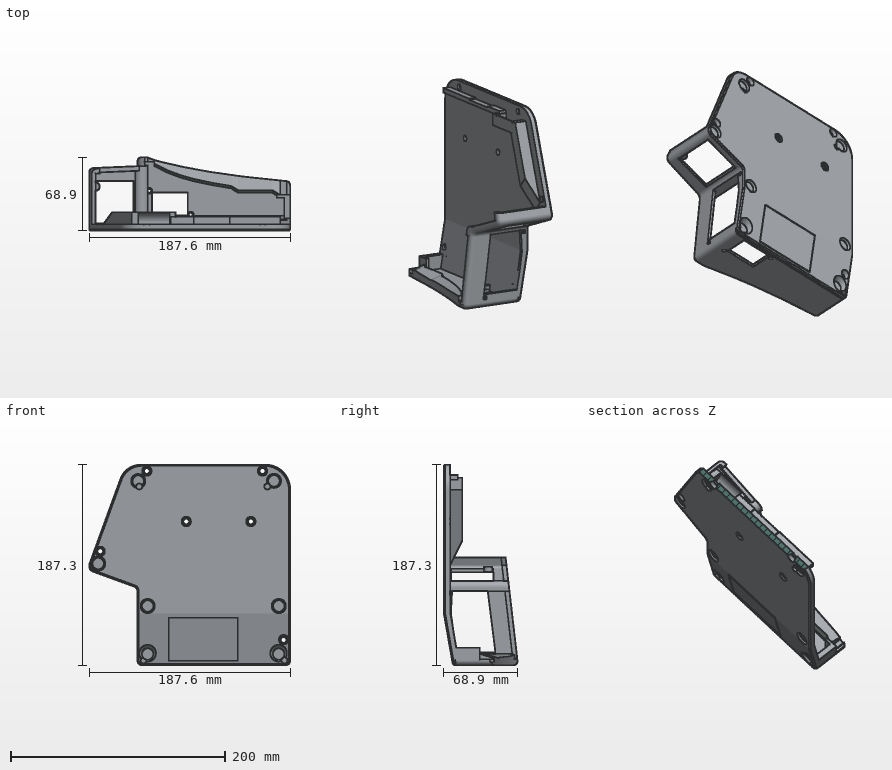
import cadquery as cq
import math

width = 187.6
height = 187.3
depth = 68.9
lean = math.radians(20)

lower_left_x = 45.0
wing_corner_z = 89.3
top_left_radius = 20.6
top_right_radius = 23.5
wing_radius = 5.6
notch_radius = 4.7
bottom_radius = 4.7

panel = 6.0
panel_chamfer = 1.3
bend_z = 48.5
tilt = math.radians(10)

wall = 3.2
floor = 5.6
rim_width = 6.8
rim_thickness = 4.3
rim_round = 4.1
rim_wing_y = 57.2
wing_wall_top = 100.8
floor_curve = [(51.0, 70.0), (63.0, 65.5), (76.5, 62.1), (120.6, 53.8), (width, 46.2)]

post_left = 41.8
post_right = 54.8
post_round = 6.2
post_bottom = 69.2
post_top = 78.8

side_window_points = [(7.9, 69.2), (6.8, 48.5), (11.8, 12.4), (48.0, 12.4), (40.9, 69.2)]
wing_window_x = (5.3, 41.3)
wing_window_y = (7.0, 46.3)
floor_window_x = (58.7, 92.0)
floor_window_y = (13.1, 35.6)

ridge_curve = [(61.0, 62.7), (78.8, 54.2), (95.7, 49.0), (132.7, 41.8)]
ridge_steps = [(138.8, 37.9), (170.7, 37.9), (178.2, 33.4)]
ridge_slope = 0.3
ridge_top = 10.7
ridge_step = 2.3
sill_top = 16.5
sill_front = 33.8
sill_width = 5.8
sill_bar_left = 175.2
sill_bar = 2.8

wing_lip_inset = 9.4
wing_lip_thickness = 11.3
wing_lip_end_skew = 45
wing_lip_top = 175.0
wing_lip_bottom = 102.3
wing_lip_ramp_top = 124.4
wing_lip_depth = 17.5
lip_step_x = 80.7
scoop_x = (46.0, 75.0)
scoop_y = 8.5
scoop_radius = 8.5
top_lip_depth = 13.1
top_lip_top = 177.7
top_lip_thickness = 4.5
top_lip_right = 178.2
top_lip_notch_x = (97.5, 131.3)
top_lip_notch = 1.1

screw_diameter = 5.5
screw_head_diameter = 8.8
screw_head_depth = 3.8
flat_head_depth = 2.3
edge_screws = [(10.3, 106.4), (53.8, 181.3), (161.7, 181.3), (181.5, 23.6)]
middle_screws = [(90.6, 134.2), (150.9, 134.2)]
foot_diameter = 13.3
foot_floor_diameter = 10.7
foot_depth = 2.3
feet = [(45.8, 171.9), (172.5, 172.0), (8.5, 95.0), (54.6, 55.4), (177.0, 55.4)]
tilted_foot_depth = 4.1
tilted_feet = [(54.6, 10.5), (176.7, 10.5)]
magnet_diameter = 5.6
magnet_depth = 3.0
magnets = [(46.7, 166.8), (166.2, 166.8), (50.8, 4.5), (182.2, 4.7)]

label_x = (74.1, 138.7)
label_z = (4.3, 44.3)
label_depth = 0.5

pilot_diameter = 3.5
pilot_depth = 3.4
side_pilots = [(4.9, 67.5), (46.7, 9.2)]
floor_posts = [(56.1, 37.3), (94.8, 15.0)]
post_diameter = 5.6
post_height = 1.1
wing_boss_x = 6.0
wing_boss_y = 41.3
wing_boss_z = (87.2, 92.0)
wing_boss_diameter = 7.9

wing_corner_x = wing_radius * (1 - math.sin(lean) - math.cos(lean))
bend_inset = bend_z * math.tan(tilt)


def box(x, y, z):
    """Block given by its (low, high) limits on each axis."""
    sizes = [high - low for low, high in (x, y, z)]
    return cq.Workplane("XY").box(*sizes, centered=False).translate((x[0], y[0], z[0]))


def countersink(x, z, mouth_diameter, floor_diameter, taper_depth, depth_at_center):
    """Tapered recess along +Y that ends on a flat floor, measured from the panel's outer face."""
    floor_y = panel_front(z) + depth_at_center
    start_diameter = floor_diameter + (mouth_diameter - floor_diameter) * floor_y / taper_depth
    solid = cq.Solid.makeCone(
        start_diameter / 2, floor_diameter / 2, floor_y, cq.Vector(x, 0, z), cq.Vector(0, 1, 0)
    )
    return cq.Workplane(solid)


def peg(x, z, diameter, start, end):
    """Cylinder along +Y from depth start to depth end."""
    return cq.Workplane("XZ", origin=(x, start, z)).circle(diameter / 2).extrude(start - end)


def panel_front(z):
    """Depth of the panel's outer face at height z."""
    return max(0.0, (bend_z - z) * math.tan(tilt))


notch_z = wing_corner_z - (lower_left_x - wing_corner_x) * math.tan(lean)
top_left_x = wing_corner_x + (height - wing_corner_z) * math.tan(lean)
outline_corners = [
    (lower_left_x, 0, bottom_radius),
    (width, 0, bottom_radius),
    (width, height, top_right_radius),
    (top_left_x, height, top_left_radius),
    (wing_corner_x, wing_corner_z, wing_radius),
    (lower_left_x, notch_z, notch_radius),
]


def outline_prism():
    points = [(x, z) for x, z, radius in outline_corners]
    prism = cq.Workplane("XZ").polyline(points).close().extrude(-2 * depth)
    for x, z, radius in outline_corners:
        corner = cq.selectors.BoxSelector((x - 1.9, -1.9, z - 1.9), (x + 1.9, 2 * depth + 1.9, z + 1.9))
        prism = prism.edges("|Y").edges(corner).fillet(radius)
    return prism


def inset_prism(inset):
    boundary = outline.faces("<Y").wires().val().offset2D(-inset)[0]
    return cq.Workplane(cq.Solid.extrudeLinear(boundary, [], cq.Vector(0, 2 * depth, 0)))


outline = outline_prism()


def bent_panel():
    flat = outline.intersect(box((-1.9, width + 1.9), (-1.9, panel), (-1.9, height + 1.9)))
    flat = flat.faces("<Y").chamfer(panel_chamfer)
    upper = flat.intersect(box((-1.9, width + 1.9), (-1.9, panel), (bend_z, height + 1.9)))
    tilted_length = bend_z / math.cos(tilt)
    label_shift = bend_z - tilted_length
    lower = flat.translate((0, 0, label_shift))
    lower = lower.intersect(box((-1.9, width + 1.9), (-1.9, panel), (-1.9, bend_z)))
    lower = lower.cut(box(label_x, (0, label_depth), (label_z[0] + label_shift, label_z[1])))
    lower = lower.rotate((0, 0, bend_z), (1, 0, bend_z), math.degrees(tilt))
    return upper.union(lower)


back_panel = bent_panel()

slope_run = (depth - rim_wing_y) / wing_wall_top
slope_front = depth + rim_round * (slope_run + math.hypot(1, slope_run) - 1)
slope_top = slope_front - slope_run * wing_wall_top
side_profile = [
    (bend_inset + panel / 2, 0),
    (slope_front, 0),
    (slope_top, wing_wall_top),
    (panel / 2, wing_wall_top),
    (panel / 2, bend_z),
]
side_limit = cq.Workplane("YZ", origin=(-1.9, 0, 0)).polyline(side_profile).close().extrude(width + 3.8)


def plan_limit():
    floor_end_x, floor_end_y = floor_curve[-1]
    limit = (
        cq.Workplane("XY", origin=(0, 0, -1.9))
        .moveTo(-1.9, 0)
        .lineTo(-1.9, floor_curve[0][1])
        .lineTo(*floor_curve[0])
        .spline(floor_curve[1:], includeCurrent=True)
        .lineTo(floor_end_x, 0)
        .close()
        .extrude(height)
    )
    corner = cq.selectors.NearestToPointSelector((floor_end_x, floor_end_y, height / 2))
    return limit.edges("|Z").edges(corner).fillet(rim_round)


def wall_envelope():
    side_body = outline.intersect(side_limit)
    front_middle = (width / 2, rim_wing_y + 3.8, wing_wall_top / 2)
    front_face = side_body.faces(cq.selectors.NearestToPointSelector(front_middle))
    return front_face.edges("not >Z").fillet(rim_round).intersect(plan_limit())


envelope = wall_envelope()

flange_opening = inset_prism(rim_width)
wall_cavity = inset_prism(wall).intersect(side_limit.translate((0, -rim_thickness, 0)))
open_right = box((post_right, width + 1.9), (0, depth + 1.9), (floor, height))
post = box((post_left, post_right), (panel, depth), (post_bottom, post_top))
post = post.edges("|Y and >Z").fillet(post_round)
sill = box((width - sill_width, width + 1.9), (panel, sill_front), (0, sill_top))
sill = sill.union(box((sill_bar_left, width + 1.9), (sill_front - sill_bar, sill_front), (0, sill_top)))
walls = envelope.cut(wall_cavity).cut(flange_opening).cut(open_right)
walls = walls.union(post.union(sill).intersect(envelope))


def ridge_section(x, crest):
    reach = depth - sill_front
    points = [
        (crest, ridge_top),
        (crest - ridge_step, floor),
        (crest - ridge_step, floor / 2),
        (crest + reach, floor / 2),
        (crest + reach, ridge_top - reach * ridge_slope),
    ]
    return cq.Wire.makePolygon([cq.Vector(x, y, z) for y, z in points], close=True)


def ridge_loft(crest_points, straight):
    return cq.Workplane(cq.Solid.makeLoft([ridge_section(x, y) for x, y in crest_points], straight))


swept_ridge = ridge_loft(ridge_curve, False)
stepped_ridge = ridge_loft([ridge_curve[-1]] + ridge_steps, True)
walls = walls.union(swept_ridge.union(stepped_ridge).intersect(envelope))

side_window = (
    cq.Workplane("YZ", origin=(lower_left_x - 1.9, 0, 0))
    .polyline(side_window_points)
    .close()
    .extrude(post_right - lower_left_x + 1.9)
)
wing_window = box(wing_window_x, wing_window_y, (post_bottom, wing_wall_top - wall))
floor_window = box(floor_window_x, floor_window_y, (-1.9, ridge_top))
walls = walls.cut(side_window).cut(wing_window).cut(floor_window)


def lip_x(z, inset):
    """X of the line parallel to the leaning edge, inset square to it, at height z."""
    return wing_corner_x + (z - wing_corner_z) * math.tan(lean) + inset / math.cos(lean)


def leaning_lip():
    inner_inset = wing_lip_inset + wing_lip_thickness
    corner_z = wing_lip_top - wing_lip_thickness
    plan = [
        (lip_x(0, wing_lip_inset), 0),
        (lip_x(wing_lip_top, wing_lip_inset), wing_lip_top),
        (lip_step_x, wing_lip_top),
        (lip_step_x, corner_z),
        (lip_x(corner_z, inner_inset), corner_z),
        (lip_x(0, inner_inset), 0),
    ]
    lip = cq.Workplane("XZ").polyline(plan).close().extrude(-wing_lip_depth)
    ramp_profile = [
        (panel / 2, wing_lip_bottom),
        (panel, wing_lip_bottom),
        (wing_lip_depth, wing_lip_ramp_top),
        (wing_lip_depth, 2 * height),
        (panel / 2, 2 * height),
    ]
    ramp_x = lip_x(wing_lip_bottom, wing_lip_inset)
    ramp = cq.Workplane("YZ", origin=(-width, 0, 0)).polyline(ramp_profile).close().extrude(3 * width)
    ramp = ramp.rotate((ramp_x, 0, wing_lip_bottom), (ramp_x, 1, wing_lip_bottom), wing_lip_end_skew)
    scoop = (
        cq.Workplane("YZ", origin=(scoop_x[0], scoop_y, wing_lip_top))
        .circle(scoop_radius)
        .extrude(scoop_x[1] - scoop_x[0])
    )
    return lip.intersect(ramp).cut(scoop)


def top_lip():
    x_range = (lip_step_x - top_lip_thickness, top_lip_right)
    y_range = (panel / 2, top_lip_depth)
    lip = box(x_range, y_range, (top_lip_top - top_lip_thickness, top_lip_top))
    return lip.cut(box(top_lip_notch_x, (panel, depth), (top_lip_top - top_lip_notch, height)))


def floor_post(x, y):
    return cq.Workplane("XY").center(x, y).circle(post_diameter / 2).extrude(floor + post_height)


wing_boss = (
    cq.Workplane("XY", origin=(wing_boss_x, wing_boss_y, wing_boss_z[0]))
    .circle(wing_boss_diameter / 2)
    .extrude(wing_boss_z[1] - wing_boss_z[0])
    .intersect(outline)
)

shell = walls.union(back_panel).union(leaning_lip()).union(top_lip()).union(wing_boss)
for x, y in floor_posts:
    shell = shell.union(floor_post(x, y))
    shell = shell.cut(cq.Workplane("XY").center(x, y).circle(pilot_diameter / 2).extrude(floor + post_height))
for y, z in side_pilots:
    pilot = cq.Workplane("YZ", origin=(lower_left_x, y, z)).circle(pilot_diameter / 2).extrude(pilot_depth)
    shell = shell.cut(pilot)

for x, z in edge_screws:
    head = countersink(x, z, screw_head_diameter, screw_diameter, screw_head_depth, screw_head_depth)
    shell = shell.cut(head).cut(peg(x, z, screw_diameter, 0, top_lip_depth))
for x, z in middle_screws:
    shell = shell.cut(peg(x, z, screw_head_diameter, 0, flat_head_depth))
    shell = shell.cut(peg(x, z, screw_diameter, 0, panel))
for x, z in feet:
    shell = shell.cut(countersink(x, z, foot_diameter, foot_floor_diameter, foot_depth, foot_depth))
for x, z in tilted_feet:
    shell = shell.cut(countersink(x, z, foot_diameter, foot_floor_diameter, foot_depth, tilted_foot_depth))
for x, z in magnets:
    shell = shell.cut(peg(x, z, magnet_diameter, 0, panel_front(z) + magnet_depth))

result = shell